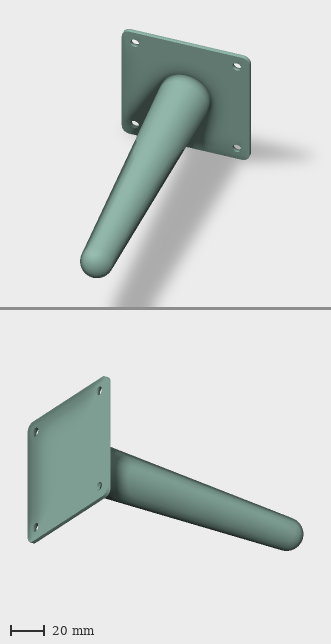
import cadquery as cq

plate_side = 80.0
plate_thickness = 2.5
corner_radius = 5.0
hole_diameter = 5.5
hole_spacing = 64.0

overall_length = 170.0
root_radius = 16.0
tip_radius = 10.0
tip_start = overall_length - tip_radius


def make_plate():
    """Rounded square plate with a hole near each corner."""
    return (
        cq.Workplane("XZ")
        .rect(plate_side, plate_side)
        .extrude(plate_thickness)
        .edges("|Y")
        .fillet(corner_radius)
        .faces("<Y")
        .workplane(origin=(0, 0, 0))
        .rect(hole_spacing, hole_spacing, forConstruction=True)
        .vertices()
        .hole(hole_diameter)
    )


def make_peg():
    """Half profile of the peg revolved about the Y axis."""
    tip_arc_offset = tip_radius * 0.5**0.5
    return (
        cq.Workplane("XY")
        .moveTo(0, -plate_thickness)
        .lineTo(root_radius, -plate_thickness)
        .lineTo(tip_radius, -tip_start)
        .threePointArc((tip_arc_offset, -tip_start - tip_arc_offset), (0, -overall_length))
        .close()
        .revolve(360, (0, 0, 0), (0, 1, 0))
    )


result = make_plate().union(make_peg())